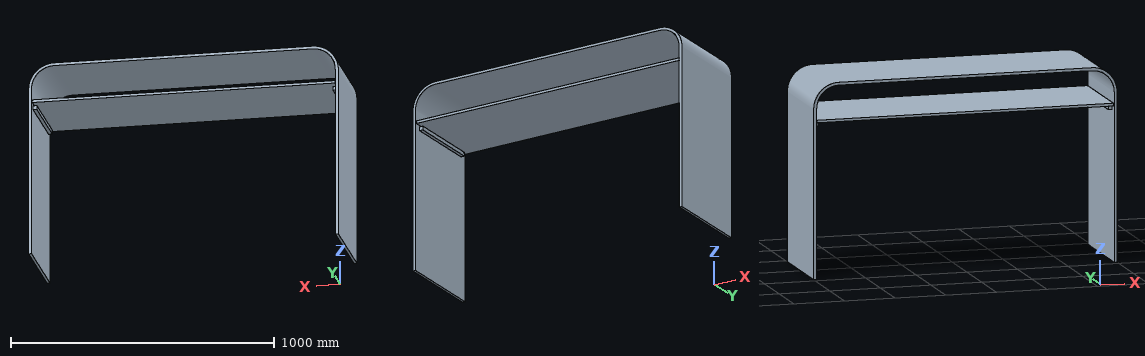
import cadquery as cq

LENGTH = 1200.0
DEPTH = 360.0
HEIGHT = 760.0

PANEL_THICKNESS = 12.0
BEND_RADIUS = 100.0

SHELF_THICKNESS = 11.0
SHELF_TOP = 617.0
SHELF_END_GAP = 2.0
INNER_LENGTH = LENGTH - 2 * PANEL_THICKNESS
SHELF_LENGTH = INNER_LENGTH - 2 * SHELF_END_GAP
SHELF_SETBACK = 2.0
SHELF_DEPTH = DEPTH - 2 * SHELF_SETBACK

RAIL_WIDTH = 15.0
RAIL_HEIGHT = 15.0
RAIL_GAP = 4.0
RAIL_SETBACK = 30.0
RAIL_LENGTH = DEPTH - 2 * RAIL_SETBACK
RAIL_TOP = SHELF_TOP - SHELF_THICKNESS - RAIL_GAP


def arch(length, height, radius):
    """Full-depth block standing on the floor, with its two upper edges rounded."""
    block = cq.Workplane("XY").box(length, DEPTH, height, centered=(True, True, False))
    return block.edges("|Y and >Z").fillet(radius)


def make_panel():
    """Panel of constant thickness: an outer arch less a concentric inner one."""
    outer = arch(LENGTH, HEIGHT, BEND_RADIUS)
    inner = arch(INNER_LENGTH, HEIGHT - PANEL_THICKNESS, BEND_RADIUS - PANEL_THICKNESS)
    return outer.cut(inner)


def make_shelf():
    """Flat shelf, slightly shallower than the panel, with a small gap at each leg."""
    shelf = cq.Workplane("XY").box(SHELF_LENGTH, SHELF_DEPTH, SHELF_THICKNESS)
    return shelf.translate((0, 0, SHELF_TOP - SHELF_THICKNESS / 2))


def make_rail(side):
    """Rail against the inner face of one leg; side is -1 (left) or 1 (right)."""
    rail = cq.Workplane("XY").box(RAIL_WIDTH, RAIL_LENGTH, RAIL_HEIGHT)
    center_x = side * (INNER_LENGTH - RAIL_WIDTH) / 2
    return rail.translate((center_x, 0, RAIL_TOP - RAIL_HEIGHT / 2))


panel = make_panel()
shelf = make_shelf()
rails = [make_rail(side) for side in (-1, 1)]

result = cq.Compound.makeCompound([panel.val(), shelf.val(), *[rail.val() for rail in rails]])